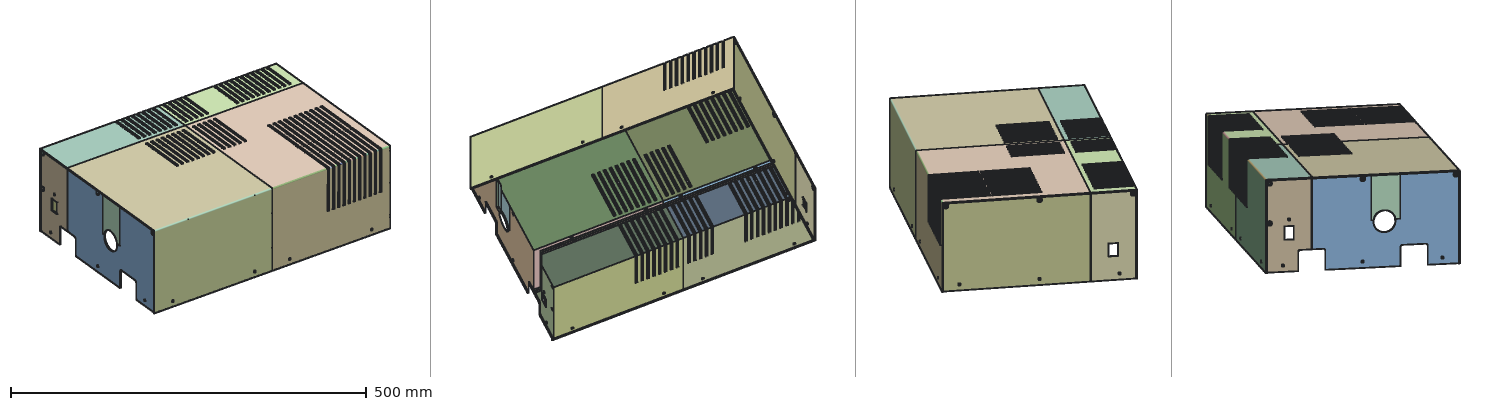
import cadquery as cq

WIDTH = 279.0
DEPTH = 406.0
HEIGHT = 135.0
ROOF_THICKNESS = 2.0
SIDE_THICKNESS = 2.0
EDGE_RADIUS = 2.0
SEAM_X = 67.0
FRONT_Y = -DEPTH / 2
BACK_Y = DEPTH / 2
MID_X = WIDTH / 2
ROOF_UNDERSIDE = HEIGHT - ROOF_THICKNESS

PANEL_THICKNESS = 2.0
PANEL_RECESS = 1.0
PANEL_GAP = 1.0
PANEL_FRONT = FRONT_Y + PANEL_RECESS
PANEL_BACK = PANEL_FRONT + PANEL_THICKNESS

FLANGE_THICKNESS = 3.0
FLANGE_DROP = 10.0
FRONT_POST_FOOT = 31.0
BACK_POST_FOOT = 18.5
FLANGE_HOLE_DIAMETER = 4.4
FLANGE_HOLE_DEPTH = 6.2

SLOT_WIDTH = 3.0
SLOT_PITCH = 9.0
SIDE_SLOT_FOOT = 65.0
LEFT_SLOT_END = 58.5
MIDDLE_SLOT_START = 75.5
MIDDLE_SLOT_END = 150.5
RIGHT_SLOT_START = 134.0
RIGHT_SLOT_RIB_START = 204.0
RIGHT_SLOT_RIB_END = 207.0
BACK_GROUP_CENTRE = 141.5
BACK_GROUP_REACH = 5
BACK_SLOTS = [
    BACK_GROUP_CENTRE + SLOT_PITCH * step
    for step in range(-BACK_GROUP_REACH, BACK_GROUP_REACH + 1)
]
MIDDLE_SLOTS_FRONT = 8
MIDDLE_SLOTS_BACK = 5
MIDDLE_GROUP_SHIFT = -0.5
MIDDLE_SLOTS = [
    MIDDLE_GROUP_SHIFT + SLOT_PITCH * step
    for step in range(-MIDDLE_SLOTS_FRONT, MIDDLE_SLOTS_BACK + 1)
    if step != 0
]
FLANGE_HOLES = [-BACK_GROUP_CENTRE, -3 * SLOT_PITCH, 3 * SLOT_PITCH, BACK_GROUP_CENTRE]

BASE_HOLE_DIAMETER = 3.3
BASE_HOLE_HEIGHT = 9.15
SIDE_HOLES = [-171.0, -30.0, 30.0, 171.0]
PANEL_BASE_HOLE_INSET = 25.0
SCREW_DIAMETER = 3.2
SCREW_HEAD_DIAMETER = 7.0
SCREW_INSET = 5.8
SCREW_HEIGHT = HEIGHT - 6.2
SIDE_SCREW_HEIGHT = 71.2

FOOT_CUTOUT_WIDTH = 39.0
FOOT_CUTOUT_HEIGHT = 30.5
FOOT_CUTOUT_RADIUS = 3.0
FOOT_CUTOUTS = [66.5, 213.5]
SWITCH_X = 34.0
SWITCH_WIDTH = 13.5
SWITCH_HEIGHT = 19.5
SWITCH_TOP = 65.75
BACK_SWITCH_TOP = 55.5
PILOT_HOLE_DIAMETER = 3.3
PILOT_HOLE_Z = 75.5
PORT_X = 170.9
PORT_Z = 66.0
PORT_DIAMETER = 31.5
HATCH_X = 172.5
HATCH_WIDTH = 41.0
HATCH_FOOT = 68.5
GUIDE_START = 186.6
GUIDE_WIDTH = 10.0
GUIDE_THICKNESS = 3.0
GUIDE_FOOT = 66.0


def box(x_span, y_span, z_span):
    """Axis-aligned block between pairs of limits."""
    spans = (x_span, y_span, z_span)
    size = [high - low for low, high in spans]
    corner = [low for low, high in spans]
    return cq.Workplane("XY").box(*size, centered=False).translate(tuple(corner))


def cylinder_y(x, z, diameter):
    """Cylinder along Y through the whole cover."""
    return cq.Workplane("XZ", origin=(x, 0, z)).circle(diameter / 2).extrude(DEPTH, both=True)


def cylinder_x(y, z, diameter):
    """Cylinder along X through the whole cover."""
    return cq.Workplane("YZ", origin=(0, y, z)).circle(diameter / 2).extrude(WIDTH)


def slot(x_start, x_end, y, foot):
    """Cutter for one slot, from a foot height up through the roof."""
    half = SLOT_WIDTH / 2
    return box((x_start, x_end), (y - half, y + half), (foot, HEIGHT))




def folded_cover():
    outer = box((0, WIDTH), (FRONT_Y, BACK_Y), (0, HEIGHT)).edges("|Y and >Z").fillet(EDGE_RADIUS)
    inner_right = WIDTH - SIDE_THICKNESS
    return outer.cut(box((SIDE_THICKNESS, inner_right), (FRONT_Y, BACK_Y), (0, ROOF_UNDERSIDE)))


def seam_flanges():
    """Strip under the roof seam and a post behind each end panel, double thickness over the seam."""
    front = PANEL_BACK
    back = -PANEL_BACK
    x_span = (SEAM_X - FLANGE_THICKNESS, SEAM_X + FLANGE_THICKNESS)
    flanges = box(x_span, (front, back), (HEIGHT - FLANGE_DROP, ROOF_UNDERSIDE))
    flanges = flanges.union(box(x_span, (front, front + FLANGE_DROP), (FRONT_POST_FOOT, ROOF_UNDERSIDE)))
    flanges = flanges.union(box(x_span, (back - FLANGE_DROP, back), (BACK_POST_FOOT, ROOF_UNDERSIDE)))
    for y in FLANGE_HOLES:
        hole = cylinder_x(y, HEIGHT - FLANGE_HOLE_DEPTH, FLANGE_HOLE_DIAMETER)
        flanges = flanges.cut(hole)
    return flanges


def vent_slots():
    cutters = []
    for y in BACK_SLOTS + MIDDLE_SLOTS:
        cutters.append(slot(SIDE_THICKNESS, LEFT_SLOT_END, y, ROOF_UNDERSIDE))
        cutters.append(slot(0, SIDE_THICKNESS, y, SIDE_SLOT_FOOT))
    for y in MIDDLE_SLOTS:
        cutters.append(slot(MIDDLE_SLOT_START, MIDDLE_SLOT_END, y, ROOF_UNDERSIDE))
    for y in BACK_SLOTS:
        cutters.append(slot(RIGHT_SLOT_START, RIGHT_SLOT_RIB_START, y, ROOF_UNDERSIDE))
        cutters.append(slot(RIGHT_SLOT_RIB_END, WIDTH - SIDE_THICKNESS, y, ROOF_UNDERSIDE))
        cutters.append(slot(WIDTH - SIDE_THICKNESS, WIDTH, y, SIDE_SLOT_FOOT))
    return cutters


def side_holes():
    return [cylinder_x(y, BASE_HOLE_HEIGHT, BASE_HOLE_DIAMETER) for y in SIDE_HOLES]


def whole_shell():
    shell = folded_cover()
    for cutter in vent_slots() + side_holes():
        shell = shell.cut(cutter)
    return shell.union(seam_flanges())


def shell_quarters():
    shell = whole_shell()
    quarters = []
    for x_span in ((0, SEAM_X), (SEAM_X, WIDTH)):
        for y_span in ((FRONT_Y, 0), (0, BACK_Y)):
            quarters.append(shell.intersect(box(x_span, y_span, (0, HEIGHT))))
    return quarters



LEFT_PANEL_SPAN = (SIDE_THICKNESS, SEAM_X - PANEL_GAP)
RIGHT_PANEL_SPAN = (SEAM_X, WIDTH - SIDE_THICKNESS)
LEFT_CORNER_SCREW = (SCREW_INSET, SCREW_HEIGHT)
LEFT_SIDE_SCREW = (SCREW_INSET, SIDE_SCREW_HEIGHT)
RIGHT_SCREWS = [(MID_X, SCREW_HEIGHT), (WIDTH - SCREW_INSET, SCREW_HEIGHT)]


def front_slab(x_span, z_span):
    return box(x_span, (PANEL_FRONT, PANEL_BACK), z_span)


def countersunk_hole(x, z):
    """Cutter for a through hole with a 90-degree conical seat in the panel's outer face."""
    head = SCREW_HEAD_DIAMETER / 2
    shank = SCREW_DIAMETER / 2
    outline = [(0, 0), (head, 0), (shank, head - shank), (shank, PANEL_THICKNESS), (0, PANEL_THICKNESS)]
    cutter = cq.Workplane("XY").polyline(outline).close().revolve(360, (0, 0), (0, 1))
    return cutter.translate((x, PANEL_FRONT, z))


def panel_blank(x_span, screws, base_holes):
    panel = front_slab(x_span, (0, ROOF_UNDERSIDE))
    for x, z in screws:
        panel = panel.cut(countersunk_hole(x, z))
    for x in base_holes:
        panel = panel.cut(cylinder_y(x, BASE_HOLE_HEIGHT, BASE_HOLE_DIAMETER))
    return panel


def left_blank():
    return panel_blank(LEFT_PANEL_SPAN, [LEFT_CORNER_SCREW], [PANEL_BASE_HOLE_INSET])


def right_blank():
    return panel_blank(RIGHT_PANEL_SPAN, RIGHT_SCREWS, [MID_X, WIDTH - PANEL_BASE_HOLE_INSET])


def foot_cutouts():
    """Cutters for both openings in the bottom edge; the left one straddles the seam."""
    half = FOOT_CUTOUT_WIDTH / 2
    cutters = cq.Workplane("XY")
    for x in FOOT_CUTOUTS:
        cutters = cutters.add(front_slab((x - half, x + half), (0, FOOT_CUTOUT_HEIGHT)))
    return cutters.combine().edges("|Y and >Z").fillet(FOOT_CUTOUT_RADIUS)


def switch_opening(top):
    half = SWITCH_WIDTH / 2
    return front_slab((SWITCH_X - half, SWITCH_X + half), (top - SWITCH_HEIGHT, top))


def hatch_blank():
    half = HATCH_WIDTH / 2
    return front_slab((HATCH_X - half, HATCH_X + half), (HATCH_FOOT, ROOF_UNDERSIDE))


def front_left_panel():
    panel = left_blank().cut(countersunk_hole(*LEFT_SIDE_SCREW)).cut(foot_cutouts())
    panel = panel.cut(switch_opening(SWITCH_TOP))
    return panel.cut(cylinder_y(SWITCH_X, PILOT_HOLE_Z, PILOT_HOLE_DIAMETER))


def front_right_panel():
    panel = right_blank().cut(foot_cutouts()).cut(hatch_blank())
    return panel.cut(cylinder_y(PORT_X, PORT_Z, PORT_DIAMETER))


def hatch():
    return hatch_blank().cut(cylinder_y(PORT_X, PORT_Z, PORT_DIAMETER))


def hatch_guide():
    """Upright strip behind the right edge of the hatch."""
    return box(
        (GUIDE_START, GUIDE_START + GUIDE_WIDTH),
        (PANEL_BACK, PANEL_BACK + GUIDE_THICKNESS),
        (GUIDE_FOOT, ROOF_UNDERSIDE),
    )


def back_left_panel():
    return left_blank().cut(switch_opening(BACK_SWITCH_TOP)).mirror("XZ")


def back_right_panel():
    return right_blank().mirror("XZ")


bodies = shell_quarters() + [
    front_left_panel(),
    front_right_panel(),
    hatch(),
    hatch_guide(),
    back_left_panel(),
    back_right_panel(),
]
result = cq.Compound.makeCompound([body.val() for body in bodies])